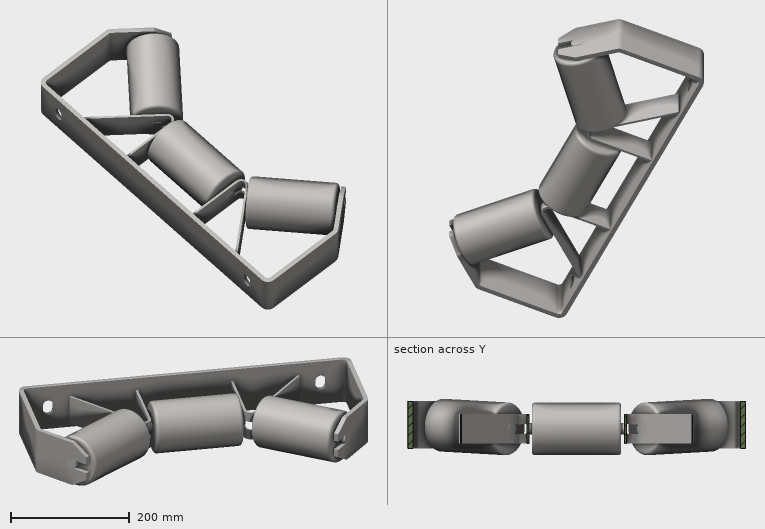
import cadquery as cq
import math


band_length = 570.0
band_depth = 243.5
band_height = 80.0
band_thickness = 8.0
band_bend_radius = 14.0
wing_bend_start = 156.0
wing_angle = 40.0
wing_corner_run = 30.0
wing_corner_drop = 18.0
mount_slot_x = 233.5
mount_slot_width = 17.5
mount_slot_height = 26.0

bracket_height = 50.0
bracket_thickness = 4.0
bracket_bend_radius = 12.0
bracket_face_x = 80.0
bracket_bend_y = 118.0
bracket_foot_gap = 0.3

roller_diameter = 89.0
roller_length = 150.0
roller_edge_radius = 5.0
shaft_diameter = 20.0
shaft_flat_width = 16.0
shaft_overhang = 0.5
shoulder_clearance = 0.5
centre_roller_y = 101.0
centre_roller_z = -7.0
side_roller_tip_offset = 32.5
side_roller_tilt = 2.5
side_shaft_outer_z = 0.0
slot_reach = 68.5

half_length = band_length / 2
shaft_radius = shaft_diameter / 2
fold_cos = math.cos(math.radians(wing_angle))
fold_sin = math.sin(math.radians(wing_angle))
along = (fold_sin, fold_cos)
outward = (-fold_cos, fold_sin)


def shift(point, direction, distance):
    """Move a plan point along a plan direction."""
    return (point[0] + direction[0] * distance, point[1] + direction[1] * distance)


def project(point, direction):
    """Length of a plan point measured along a unit plan direction."""
    return point[0] * direction[0] + point[1] * direction[1]


wing_bend_centre = (-half_length + band_bend_radius, wing_bend_start)
wing_root = shift(wing_bend_centre, outward, band_bend_radius)
wing_length = (band_depth - wing_root[1]) / along[1]
wing_tip = shift(wing_root, along, wing_length)

bracket_bend_centre = (-bracket_face_x - bracket_bend_radius, bracket_bend_y)
slope_root = shift(bracket_bend_centre, outward, bracket_bend_radius)

wing_outer_level = project(wing_tip, outward)
wing_inner_level = wing_outer_level - band_thickness
slope_outer_level = project(slope_root, outward)
slope_inner_level = slope_outer_level - bracket_thickness
side_mid_level = (wing_inner_level + slope_outer_level) / 2
side_shaft_span = wing_inner_level - slope_outer_level - 2 * shoulder_clearance
side_along = project(wing_tip, along) - side_roller_tip_offset


def make_band():
    """Flat strip folded into a tray with two inward wings."""
    inner_radius = band_bend_radius - band_thickness
    half_fold = math.radians(wing_angle / 2)
    half_fold_direction = (-math.cos(half_fold), math.sin(half_fold))
    corner_direction = (-math.sqrt(0.5), -math.sqrt(0.5))
    corner_centre = (-half_length + band_bend_radius, band_bend_radius)
    wing_root_inner = shift(wing_root, outward, -band_thickness)
    wing_tip_inner = shift(wing_tip, outward, -band_thickness)

    half = (
        cq.Workplane("XY")
        .moveTo(0, 0)
        .lineTo(corner_centre[0], 0)
        .threePointArc(
            shift(corner_centre, corner_direction, band_bend_radius),
            (-half_length, corner_centre[1]),
        )
        .lineTo(-half_length, wing_bend_start)
        .threePointArc(shift(wing_bend_centre, half_fold_direction, band_bend_radius), wing_root)
        .lineTo(*wing_tip)
        .lineTo(*wing_tip_inner)
        .lineTo(*wing_root_inner)
        .threePointArc(
            shift(wing_bend_centre, half_fold_direction, inner_radius),
            (-half_length + band_thickness, wing_bend_start),
        )
        .lineTo(-half_length + band_thickness, corner_centre[1])
        .threePointArc(
            shift(corner_centre, corner_direction, inner_radius),
            (corner_centre[0], band_thickness),
        )
        .lineTo(0, band_thickness)
        .close()
        .extrude(band_height / 2, both=True)
    )
    half = half.cut(make_wing_corner_cut())
    band = half.union(half.mirror("YZ"))
    mount_slots = (
        cq.Workplane("XZ")
        .pushPoints([(-mount_slot_x, 0), (mount_slot_x, 0)])
        .slot2D(mount_slot_height, mount_slot_width, 90)
        .extrude(-band_thickness)
    )
    return band.cut(mount_slots)


def make_wing_corner_cut():
    """Triangular prisms that take off the two corners of the -X wing tip."""
    plane = cq.Plane(
        origin=(wing_tip[0], wing_tip[1], 0),
        xDir=(along[0], along[1], 0),
        normal=(outward[0], outward[1], 0),
    )
    top = band_height / 2
    cuts = cq.Workplane(plane)
    for side in (-1, 1):
        cuts = (
            cuts.moveTo(-wing_corner_run, side * top)
            .lineTo(0, side * top)
            .lineTo(0, side * (top - wing_corner_drop))
            .close()
        )
    return cuts.extrude(-band_thickness)


def make_bracket():
    """-X bracket: straight leg on the band, round nose and a sloping leg."""
    inner_radius = bracket_bend_radius - bracket_thickness
    half_turn = math.radians((180 - wing_angle) / 2)
    nose_direction = (math.cos(half_turn), math.sin(half_turn))
    slope_root_inner = shift(slope_root, outward, -bracket_thickness)
    foot_y = band_thickness + bracket_foot_gap
    slope_length = (slope_root_inner[1] - foot_y) / along[1]
    back_face_x = -bracket_face_x - bracket_thickness
    return (
        cq.Workplane("XY", origin=(0, 0, centre_roller_z))
        .moveTo(-bracket_face_x, band_thickness)
        .lineTo(-bracket_face_x, bracket_bend_y)
        .threePointArc(shift(bracket_bend_centre, nose_direction, bracket_bend_radius), slope_root)
        .lineTo(*shift(slope_root, along, -slope_length))
        .lineTo(*shift(slope_root_inner, along, -slope_length))
        .lineTo(*slope_root_inner)
        .threePointArc(
            shift(bracket_bend_centre, nose_direction, inner_radius),
            (back_face_x, bracket_bend_y),
        )
        .lineTo(back_face_x, band_thickness)
        .close()
        .extrude(bracket_height / 2, both=True)
    )


def side_axis_plane():
    """Plane square to the -X side roller at its middle; local X points to the wing tip."""
    tilt = math.radians(side_roller_tilt)
    drop = (wing_outer_level - side_mid_level) * math.tan(tilt)
    return cq.Plane(
        origin=(
            side_along * along[0] + side_mid_level * outward[0],
            side_along * along[1] + side_mid_level * outward[1],
            side_shaft_outer_z - drop,
        ),
        xDir=(along[0], along[1], 0),
        normal=(outward[0] * math.cos(tilt), outward[1] * math.cos(tilt), math.sin(tilt)),
    )


def centre_axis_plane():
    """Plane square to the centre roller at its middle; local X points along +Y."""
    return cq.Plane(origin=(0, centre_roller_y, centre_roller_z), xDir=(0, 1, 0), normal=(-1, 0, 0))


def make_roller(plane, support_span, front_end, back_end):
    """Roller with a round shaft between its supports and flatted shaft ends.

    The shaft runs from back_end to front_end along the plane normal.
    """
    drum = (
        cq.Workplane(plane)
        .workplane(offset=-roller_length / 2)
        .circle(roller_diameter / 2)
        .extrude(roller_length)
        .edges()
        .fillet(roller_edge_radius)
    )
    round_shaft = (
        cq.Workplane(plane)
        .workplane(offset=-support_span / 2)
        .circle(shaft_radius)
        .extrude(support_span)
    )
    shaft_length = front_end - back_end
    flat_shaft = (
        cq.Workplane(plane)
        .workplane(offset=back_end)
        .circle(shaft_radius)
        .extrude(shaft_length)
        .intersect(
            cq.Workplane(plane)
            .workplane(offset=back_end)
            .rect(shaft_diameter, shaft_flat_width)
            .extrude(shaft_length)
        )
    )
    return drum.union(round_shaft).union(flat_shaft)


def make_shaft_slot(plane, front_end, back_end):
    """Cutter for slots that fit the flatted shaft and run out along local X."""
    half_flat = shaft_flat_width / 2
    arc_start = -math.sqrt(shaft_radius**2 - half_flat**2)
    return (
        cq.Workplane(plane)
        .workplane(offset=back_end)
        .moveTo(slot_reach, -half_flat)
        .lineTo(arc_start, -half_flat)
        .threePointArc((-shaft_radius, 0), (arc_start, half_flat))
        .lineTo(slot_reach, half_flat)
        .close()
        .extrude(front_end - back_end)
    )


side_front_end = wing_outer_level - side_mid_level + shaft_overhang
side_back_end = slope_inner_level - side_mid_level - shaft_overhang
centre_end = bracket_face_x + bracket_thickness + shaft_overhang
side_plane = side_axis_plane()
centre_plane = centre_axis_plane()

side_roller = make_roller(side_plane, side_shaft_span, side_front_end, side_back_end)
side_rollers = [side_roller, side_roller.mirror("YZ")]

centre_slot = make_shaft_slot(centre_plane, -bracket_bend_centre[0], bracket_bend_centre[0])
bracket = make_bracket().cut(centre_slot)
nose_level = project(bracket_bend_centre, outward) - side_mid_level
side_slot = make_shaft_slot(side_plane, side_front_end + shaft_overhang, nose_level)
frame = make_band().union(bracket).union(bracket.mirror("YZ"))
frame = frame.cut(side_slot).cut(side_slot.mirror("YZ"))
frame = frame.union(make_roller(centre_plane, 2 * bracket_face_x, centre_end, -centre_end))

result = cq.Compound.makeCompound([frame.solids().val(), *[roller.solids().val() for roller in side_rollers]])